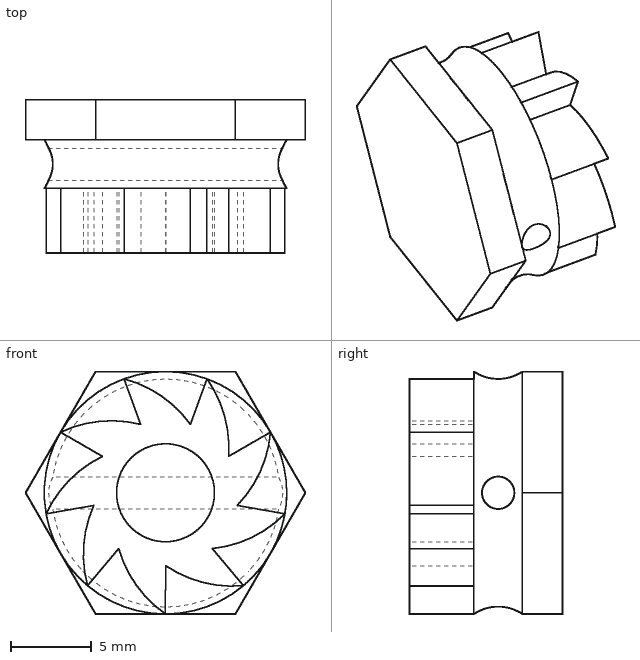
import cadquery as cq
import math

hex_across_corners = 17.32
hex_thickness = 2.5
neck_length = 3.0
ratchet_length = 4.0
neck_waist_radius = 7.05
tooth_count = 9
tooth_root_radius = 4.5
tooth_back_sagitta = 0.43
bore_diameter = 6.06
cross_hole_diameter = 2.0

rim_radius = hex_across_corners / 2 * math.cos(math.pi / 6)
total_length = hex_thickness + neck_length + ratchet_length
front_y = -total_length / 2
neck_front_y = front_y + ratchet_length
neck_middle_y = neck_front_y + neck_length / 2
neck_back_y = neck_front_y + neck_length
bore_depth = ratchet_length


def plane_at(y):
    """XZ plane at the given Y whose extrusions run toward +Y."""
    return cq.Plane(origin=(0, y, 0), xDir=(1, 0, 0), normal=(0, 1, 0))


def polar(radius, angle_from_bottom):
    """Sketch point; the plane's local y is -Z, so the bottom is at local +y."""
    angle = math.radians(angle_from_bottom)
    return radius * math.sin(angle), radius * math.cos(angle)


def tooth_back_middle(start, end):
    """Point on the bulging tooth back, offset outward from the chord's middle."""
    middle_x = (start[0] + end[0]) / 2
    middle_y = (start[1] + end[1]) / 2
    chord_x = end[0] - start[0]
    chord_y = end[1] - start[1]
    offset = tooth_back_sagitta / math.hypot(chord_x, chord_y)
    return middle_x - chord_y * offset, middle_y + chord_x * offset


def make_hex_head():
    return cq.Workplane(plane_at(neck_back_y)).polygon(6, hex_across_corners).extrude(hex_thickness)


def make_neck():
    """Round neck with a concave arc profile, revolved about Y."""
    return (
        cq.Workplane("XY")
        .moveTo(0, neck_front_y)
        .lineTo(rim_radius, neck_front_y)
        .threePointArc((neck_waist_radius, neck_middle_y), (rim_radius, neck_back_y))
        .lineTo(0, neck_back_y)
        .close()
        .revolve(360, (0, 0, 0), (0, 1, 0))
    )


def make_ratchet():
    """Teeth with a radial face on one side and an arched back on the other."""
    pitch = 360 / tooth_count
    outline = cq.Workplane(plane_at(front_y)).moveTo(*polar(rim_radius, 0))
    for tooth in range(tooth_count):
        root = polar(tooth_root_radius, tooth * pitch)
        next_tip = polar(rim_radius, (tooth + 1) * pitch)
        outline = outline.lineTo(*root).threePointArc(tooth_back_middle(root, next_tip), next_tip)
    return outline.close().extrude(ratchet_length)


def make_bore():
    return cq.Workplane(plane_at(front_y)).circle(bore_diameter / 2).extrude(bore_depth)


def make_cross_hole():
    """Hole across the neck along X, through both walls."""
    return (
        cq.Workplane("YZ")
        .center(neck_middle_y, 0)
        .circle(cross_hole_diameter / 2)
        .extrude(hex_across_corners / 2, both=True)
    )


body = make_hex_head().union(make_neck()).union(make_ratchet())
result = body.cut(make_bore()).cut(make_cross_hole())